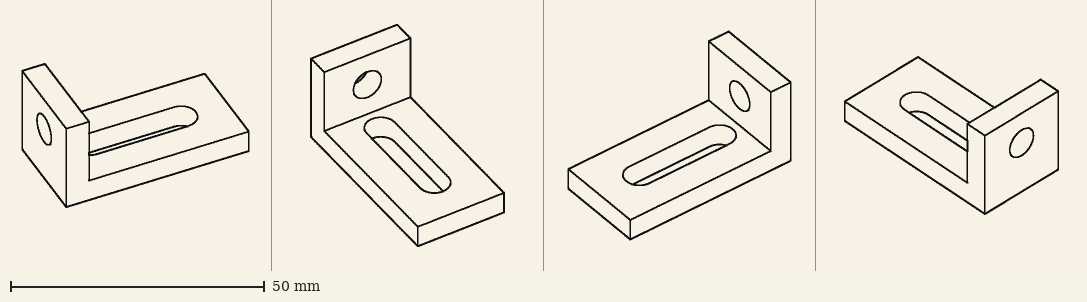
import cadquery as cq

width = 20.0
length = 40.0
height = 20.0
thickness = 5.0

hole_diameter = 6.5
hole_height = thickness + (height - thickness) / 2

slot_front = 10.0
slot_back = 30.0
slot_spacing = slot_back - slot_front


def bracket_body():
    """Base plate with an upright plate along its front edge."""
    base = cq.Workplane("XY").box(width, length, thickness, centered=(True, False, False))
    upright = cq.Workplane("XY").box(width, thickness, height, centered=(True, False, False))
    return base.union(upright)


def upright_hole():
    """Round cutter along Y through the upright plate."""
    return (
        cq.Workplane("XZ")
        .center(0, hole_height)
        .circle(hole_diameter / 2)
        .extrude(-thickness)
    )


def base_slot():
    """Round-ended cutter along Z through the base plate."""
    return (
        cq.Workplane("XY")
        .center(0, (slot_front + slot_back) / 2)
        .slot2D(slot_spacing + hole_diameter, hole_diameter, angle=90)
        .extrude(thickness)
    )


result = bracket_body().cut(upright_hole()).cut(base_slot())